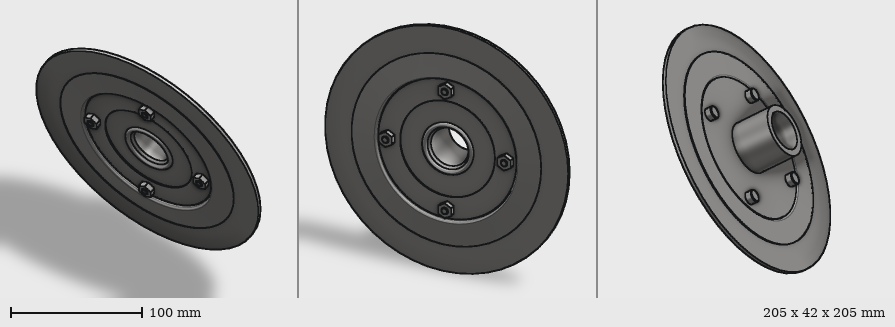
import cadquery as cq
import math


DISC_R = 102.5
DISC_T = 3.0
LIP_R = 80.0
FRONT_FOOT_Y = -2.0
BACK_FOOT_Y = 2.5
FRONT_PEAK_Y = -3.0
BACK_PEAK_Y = 2.9
SEAT_R = 58.8
LIP_FILLET = 1.6

CLAMP_FRONT_Y = 0.0
FLANGE_BACK_Y = 2.5
CLAMP_OUTER_R = 58.5
CLAMP_INNER_R = 40.0
CLAMP_T = 1.0
TUBE_OUTER_R = 21.1
TUBE_BORE_R = 15.8
TUBE_END_Y = 36.5

BEAD_INNER_R = 17.6
BEAD_OUTER_R = 21.7
MOUTH_DEPTH = 0.8
COUNTERSINK_DEPTH = 2.3

SCREW_COUNT = 4
SCREW_CIRCLE_R = 50.0
SCREW_R = 3.0
SCREW_TIP_Y = -5.5
SCREW_TIP_CHAMFER = 0.8
HEAD_R = 5.1
HEAD_HEIGHT = 6.0
HEAD_CHAMFER = 0.6
NUT_ACROSS_FLATS = 11.0
NUT_HEIGHT = 5.0


def revolve_about_y(profile):
    """Turn a closed profile, drawn in XY as (radius, y), once around the Y axis."""
    return profile.close().revolve(360, (0, 0, 0), (0, 1, 0))


def cylinder_along_y(radius, start_y, end_y):
    """Solid cylinder on the Y axis from start_y to end_y."""
    return cq.Workplane("XZ", origin=(0, end_y, 0)).circle(radius).extrude(end_y - start_y)


def make_disc():
    """Flat ring that thickens toward its bore in a conical lip on each face."""
    half_disc = DISC_T / 2
    profile = (
        cq.Workplane("XY")
        .moveTo(SEAT_R, FRONT_PEAK_Y)
        .lineTo(LIP_R, FRONT_FOOT_Y)
        .lineTo(LIP_R, -half_disc)
        .lineTo(DISC_R, -half_disc)
        .lineTo(DISC_R, half_disc)
        .lineTo(LIP_R, half_disc)
        .lineTo(LIP_R, BACK_FOOT_Y)
        .lineTo(SEAT_R, BACK_PEAK_Y)
    )
    bore_rims = cq.selectors.RadiusNthSelector(0)
    return revolve_about_y(profile).edges("%CIRCLE").edges(bore_rims).fillet(LIP_FILLET)


def make_flanged_tube():
    """Tube with a flange and its clamp ring, a rounded bead at its mouth and a countersunk bore."""
    floor_y = CLAMP_FRONT_Y + CLAMP_T
    countersink_y = floor_y + MOUTH_DEPTH
    bead_mid_r = (BEAD_INNER_R + BEAD_OUTER_R) / 2
    bead_tip_y = floor_y - (BEAD_OUTER_R - BEAD_INNER_R) / 2
    profile = (
        cq.Workplane("XY")
        .moveTo(TUBE_BORE_R, TUBE_END_Y)
        .lineTo(TUBE_BORE_R, countersink_y + COUNTERSINK_DEPTH)
        .lineTo(BEAD_INNER_R, countersink_y)
        .lineTo(BEAD_INNER_R, floor_y)
        .threePointArc((bead_mid_r, bead_tip_y), (BEAD_OUTER_R, floor_y))
        .lineTo(CLAMP_INNER_R, floor_y)
        .lineTo(CLAMP_INNER_R, CLAMP_FRONT_Y)
        .lineTo(CLAMP_OUTER_R, CLAMP_FRONT_Y)
        .lineTo(CLAMP_OUTER_R, floor_y)
        .lineTo(SEAT_R, floor_y)
        .lineTo(SEAT_R, FLANGE_BACK_Y)
        .lineTo(TUBE_OUTER_R, FLANGE_BACK_Y)
        .lineTo(TUBE_OUTER_R, TUBE_END_Y)
    )
    return revolve_about_y(profile)


def make_fastener():
    """Round-headed screw on the Y axis with a hexagon nut on its tip end."""
    head = cylinder_along_y(HEAD_R, FLANGE_BACK_Y, FLANGE_BACK_Y + HEAD_HEIGHT)
    head = head.faces(">Y").chamfer(HEAD_CHAMFER)
    shank = cylinder_along_y(SCREW_R, SCREW_TIP_Y, FLANGE_BACK_Y)
    shank = shank.faces("<Y").chamfer(SCREW_TIP_CHAMFER)
    nut_corner_diameter = NUT_ACROSS_FLATS / math.cos(math.pi / 6)
    nut = (
        cq.Workplane("XZ", origin=(0, CLAMP_FRONT_Y, 0))
        .transformed(rotate=(0, 0, 90))
        .polygon(6, nut_corner_diameter)
        .extrude(NUT_HEIGHT)
    )
    return head.union(shank).union(nut)


def make_hub():
    """Flanged tube with its fixed screws and nuts, all one solid."""
    hub = make_flanged_tube()
    for index in range(SCREW_COUNT):
        angle = 2 * math.pi * index / SCREW_COUNT
        x = SCREW_CIRCLE_R * math.cos(angle)
        z = SCREW_CIRCLE_R * math.sin(angle)
        hub = hub.union(make_fastener().translate((x, 0, z)))
    return hub


disc = make_disc()
hub = make_hub()

result = cq.Compound.makeCompound([disc.val(), hub.val()])